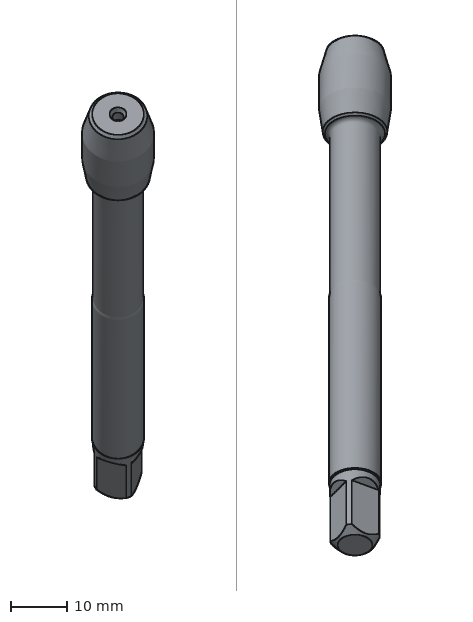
import cadquery as cq
import math

overall_length = 110.0

head_diameter = 12.84
head_top_face_diameter = 9.2
head_top_edge_diameter = 10.4
head_bottom_edge_diameter = 11.5
top_edge_depth = 0.5
upper_taper_end_depth = 5.5
lower_taper_start_depth = 13.0
lower_taper_end_depth = 18.0
head_bottom_chamfer = 0.4

neck_diameter = 9.02
shank_diameter = 9.32
shank_top_height = 55.0
shank_top_chamfer_length = 0.6
shank_bottom_height = 13.5
shank_bottom_chamfer_length = 0.2

drive_diameter = 8.95
drive_across_flats = 7.0
drive_flat_count = 4
flat_height = 11.1
end_chamfer_face_diameter = 6.2
end_chamfer_angle = 45.0

centre_hole_diameter = 2.0
centre_hole_depth = 3.0
countersink_diameter = 3.0
countersink_angle = 60.0
drill_point_angle = 120.0


def make_turned_body():
    """Revolve the round profile about the Z axis."""
    end_chamfer_radial = (drive_diameter - end_chamfer_face_diameter) / 2
    end_chamfer_height = end_chamfer_radial / math.tan(math.radians(end_chamfer_angle))
    head_bottom_height = overall_length - lower_taper_end_depth
    shank_and_neck_steps = [
        (end_chamfer_face_diameter, 0),
        (drive_diameter, end_chamfer_height),
        (drive_diameter, shank_bottom_height),
        (shank_diameter, shank_bottom_height + shank_bottom_chamfer_length),
        (shank_diameter, shank_top_height),
        (neck_diameter, shank_top_height + shank_top_chamfer_length),
    ]
    head_steps = [
        (head_bottom_edge_diameter, head_bottom_height),
        (head_diameter, overall_length - lower_taper_start_depth),
        (head_diameter, overall_length - upper_taper_end_depth),
        (head_top_edge_diameter, overall_length - top_edge_depth),
        (head_top_face_diameter, overall_length),
    ]

    head_bottom_radius = head_bottom_edge_diameter / 2
    fillet_end = (head_bottom_radius - head_bottom_chamfer, head_bottom_height - head_bottom_chamfer)
    fillet_radius = fillet_end[0] - neck_diameter / 2
    fillet_start = (neck_diameter / 2, fillet_end[1] - fillet_radius)
    fillet_middle = (
        fillet_end[0] - fillet_radius * math.cos(math.pi / 4),
        fillet_start[1] + fillet_radius * math.sin(math.pi / 4),
    )

    profile = cq.Workplane("XZ").moveTo(0, 0)
    for diameter, height in shank_and_neck_steps:
        profile = profile.lineTo(diameter / 2, height)
    profile = profile.lineTo(*fillet_start).threePointArc(fillet_middle, fillet_end)
    for diameter, height in head_steps:
        profile = profile.lineTo(diameter / 2, height)
    profile = profile.lineTo(0, overall_length).close()
    return profile.revolve(360, (0, 0), (0, 1))


def make_flat_cutter():
    """Cutter for one drive flat on the +X side, with a 45 degree run-out at its upper end."""
    flat_offset = drive_across_flats / 2
    outer_offset = shank_diameter / 2
    run_out = outer_offset - flat_offset
    outline = [
        (flat_offset, 0),
        (outer_offset, 0),
        (outer_offset, flat_height + run_out),
        (flat_offset, flat_height),
    ]
    return cq.Workplane("XZ").polyline(outline).close().extrude(outer_offset, both=True)


def make_centre_hole():
    """Countersunk centre hole with a drill point, opening in the top face."""
    hole_radius = centre_hole_diameter / 2
    countersink_radius = countersink_diameter / 2
    countersink_depth = (countersink_radius - hole_radius) / math.tan(math.radians(countersink_angle / 2))
    point_depth = hole_radius / math.tan(math.radians(drill_point_angle / 2))
    outline = [
        (0, overall_length),
        (countersink_radius, overall_length),
        (hole_radius, overall_length - countersink_depth),
        (hole_radius, overall_length - centre_hole_depth),
        (0, overall_length - centre_hole_depth - point_depth),
    ]
    return cq.Workplane("XZ").polyline(outline).close().revolve(360, (0, 0), (0, 1))


result = make_turned_body()
flat_cutter = make_flat_cutter()
for flat in range(drive_flat_count):
    flat_angle = flat * 360 / drive_flat_count
    result = result.cut(flat_cutter.rotate((0, 0, 0), (0, 0, 1), flat_angle))
result = result.cut(make_centre_hole())